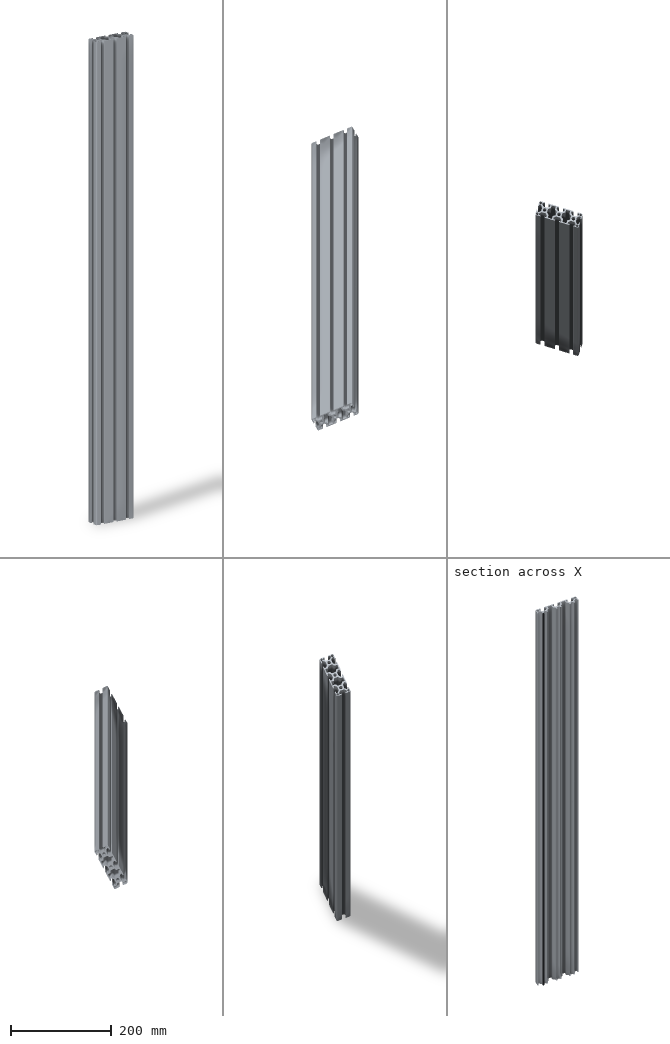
import cadquery as cq
import math

length = 1000.0
module = 30.0
module_count = 3
corner_round = 2.5

slot_opening = 8.2
lip_thickness = 2.0
lip_round = 0.4
cavity_width = 16.0
cavity_shoulder_depth = 5.0

core_width = 12.0
core_bore = 7.0

web_hollow_height = 8.5
web_taper_width = 14.0
side_wall = 2.0

corner_bore = 5.0
corner_bore_inset = 3.5

total_width = module * module_count
half_module = module / 2
half_core = core_width / 2
half_opening = slot_opening / 2
half_cavity = cavity_width / 2
cavity_shoulder = half_module - cavity_shoulder_depth
half_floor = half_cavity - (cavity_shoulder - half_core)
module_centers = [module * (i - (module_count - 1) / 2) for i in range(module_count)]


def mirrored_y(points):
    """The points mirrored across the X axis, in reverse order to continue an outline."""
    return [(x, -y) for x, y in reversed(points)]


def t_slot(center_y, angle):
    """T-slot cutter with rounded lips; it opens toward +X, then is turned about the module centre."""
    lip_inner = half_module - lip_thickness
    mouth = (half_module, half_opening + lip_round)
    throat = (half_module - lip_round, half_opening)
    arc_inset = lip_round * (1 - math.sqrt(0.5))
    arc_middle = (half_module - arc_inset, half_opening + arc_inset)
    upper_wall = [
        (lip_inner, half_opening),
        (lip_inner, half_cavity),
        (cavity_shoulder, half_cavity),
        (half_core, half_floor),
    ]
    lower_throat, lower_arc_middle, lower_mouth = mirrored_y([mouth, arc_middle, throat])
    slot = (
        cq.Workplane("XY")
        .moveTo(*mouth)
        .threePointArc(arc_middle, throat)
        .polyline(upper_wall + mirrored_y(upper_wall) + [lower_throat], includeCurrent=True)
        .threePointArc(lower_arc_middle, lower_mouth)
        .close()
        .extrude(length)
    )
    return slot.rotate((0, 0, 0), (0, 0, 1), angle).translate((0, center_y, 0))


def web_hollow(center_y):
    """Closed hollow between two neighbouring modules, narrowing toward each core."""
    side_x = half_module - side_wall
    half_height = web_hollow_height / 2
    floor_y = half_module - half_core
    taper_x = web_taper_width / 2
    upper_right = [(half_floor, floor_y), (taper_x, half_height), (side_x, half_height)]
    right = upper_right + mirrored_y(upper_right)
    left = [(-x, -y) for x, y in right]
    hollow = cq.Workplane("XY").polyline(right + left).close().extrude(length)
    return hollow.translate((0, center_y, 0))


result = cq.Workplane("XY").rect(module, total_width).extrude(length)
result = result.edges("|Z").fillet(corner_round)

for y in module_centers:
    result = result.cut(t_slot(y, 0)).cut(t_slot(y, 180))
result = result.cut(t_slot(module_centers[-1], 90)).cut(t_slot(module_centers[0], -90))

for y in module_centers[:-1]:
    result = result.cut(web_hollow(y + half_module))

core_points = [(0, y) for y in module_centers]
corner_x = half_module - corner_bore_inset
corner_y = total_width / 2 - corner_bore_inset
corner_points = [(x, y) for x in (-corner_x, corner_x) for y in (-corner_y, corner_y)]
for points, diameter in ((core_points, core_bore), (corner_points, corner_bore)):
    result = result.cut(cq.Workplane("XY").pushPoints(points).circle(diameter / 2).extrude(length))